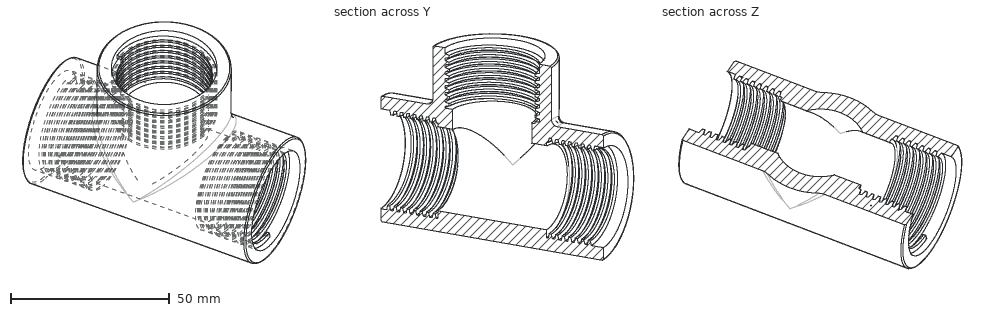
import cadquery as cq
import math

run_length = 79.0
body_diameter = 42.2
branch_height = 40.9
crotch_radius = 2.0
fillet_runout = 0.15
rim_chamfer = 0.5

waterway_diameter = 28.0
socket_diameter = 33.25
socket_depth = 20.15

thread_pitch = 2.31
thread_crest_diameter = 30.3
thread_crest_width = 0.9
thread_root_width = 1.6
thread_start_depth = 2.8
thread_turns = 7.9
wall_overlap = 0.2

body_radius = body_diameter / 2


def bar_along_x(diameter):
    """Cylinder on the X axis, as long as the run."""
    end = cq.Workplane("YZ").workplane(offset=-run_length / 2)
    return end.circle(diameter / 2).extrude(run_length)


def bar_along_z(diameter, height):
    """Cylinder on the Z axis from the origin; a negative height goes down."""
    return cq.Workplane("XY").circle(diameter / 2).extrude(height)


def make_body():
    run = bar_along_x(body_diameter).faces("<X or >X").chamfer(rim_chamfer)
    branch = bar_along_z(body_diameter, branch_height).faces(">Z").chamfer(rim_chamfer)
    return run.union(branch)


def make_crotch_fillet(body):
    """Material filling the crotch, ending just short of the points where the fillet dies out."""
    core_width = 2 * (body_radius - fillet_runout)
    core = body.intersect(cq.Workplane("XY").box(2 * run_length, core_width, 2 * run_length))
    reach = body_radius + crotch_radius
    crotch = cq.selectors.BoxSelector(
        (-reach, -reach, fillet_runout / 2), (reach, reach, reach), boundingbox=True
    )
    return core.edges(crotch).fillet(crotch_radius).cut(body)


def make_thread():
    """Trapezoidal ridge winding down the Z axis from its start on the -X side."""
    crest_radius = thread_crest_diameter / 2
    wall_radius = socket_diameter / 2
    base_radius = wall_radius + wall_overlap
    flank_slope = (thread_root_width - thread_crest_width) / (wall_radius - crest_radius)
    base_width = thread_root_width + flank_slope * wall_overlap
    crest_half = thread_crest_width / 2
    base_half = base_width / 2
    profile = (
        cq.Workplane("XZ")
        .moveTo(crest_radius, -crest_half)
        .lineTo(base_radius, -base_half)
        .lineTo(base_radius, base_half)
        .lineTo(crest_radius, crest_half)
        .close()
    )
    helix = cq.Wire.makeHelix(thread_pitch, thread_turns * thread_pitch, crest_radius)
    ridge = profile.sweep(cq.Workplane(helix), isFrenet=True)
    return ridge.rotate((0, 0, 0), (0, 1, 0), 180).translate((0, 0, -thread_start_depth))


def make_socket():
    """Threaded void of one socket, its mouth at the origin and its floor below."""
    return bar_along_z(socket_diameter, -socket_depth).cut(make_thread())


body = make_body()
body = body.union(make_crotch_fillet(body))

waterway = bar_along_x(waterway_diameter).union(bar_along_z(waterway_diameter, branch_height))

socket = make_socket()
branch_socket = socket.translate((0, 0, branch_height))
left_socket = socket.rotate((0, 0, 0), (0, 1, 0), -90).translate((-run_length / 2, 0, 0))
right_socket = left_socket.rotate((0, 0, 0), (0, 0, 1), 180)

result = body.cut(waterway)
for threaded_void in (branch_socket, left_socket, right_socket):
    result = result.cut(threaded_void)